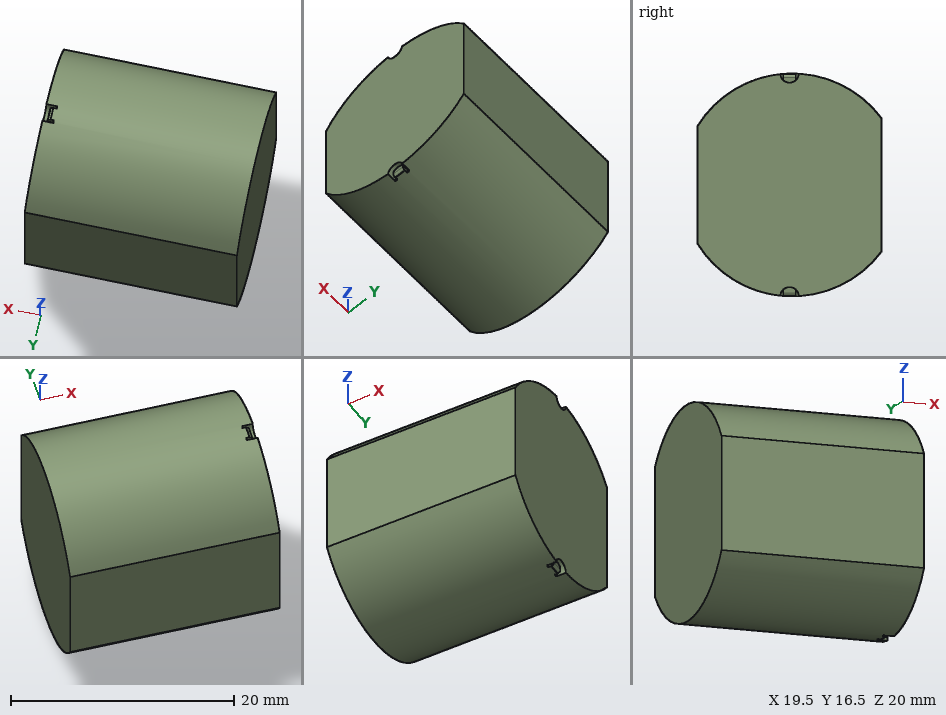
import cadquery as cq

length = 19.5
radius = 10.0
front_flat = 8.5
back_flat = 8.02
body_width = front_flat + back_flat
middle_y = (back_flat - front_flat) / 2

notch_length = 1.0
notch_radius = 0.83
notch_start = length - notch_length

tongue_width = 1.15
tongue_length = 0.58
tip_radius = 0.28
tip_step = 0.05


def make_body():
    bar = cq.Workplane("YZ").circle(radius).extrude(length)
    flats = (
        cq.Workplane("YZ")
        .center(middle_y, 0)
        .rect(body_width, 2 * radius)
        .extrude(length)
    )
    return bar.intersect(flats)


def make_notch():
    """Volume removed at the top: a round channel minus its tongue."""
    channel = (
        cq.Workplane("YZ", origin=(notch_start, middle_y, radius))
        .circle(notch_radius)
        .extrude(notch_length)
    )
    tip_end = notch_start + tongue_length
    tip_start = tip_end - tip_radius
    tip_top = radius - tip_step
    tongue_bottom = radius - notch_radius
    tongue = (
        cq.Workplane("XZ", origin=(0, middle_y + tongue_width / 2, 0))
        .moveTo(notch_start, tongue_bottom)
        .lineTo(notch_start, radius)
        .lineTo(tip_start, radius)
        .lineTo(tip_start, tip_top)
        .radiusArc((tip_end, tip_top - tip_radius), tip_radius)
        .lineTo(tip_end, tongue_bottom)
        .close()
        .extrude(tongue_width)
    )
    return channel.cut(tongue)


top_notch = make_notch()
bottom_notch = top_notch.mirror("XY")
result = make_body().cut(top_notch).cut(bottom_notch)